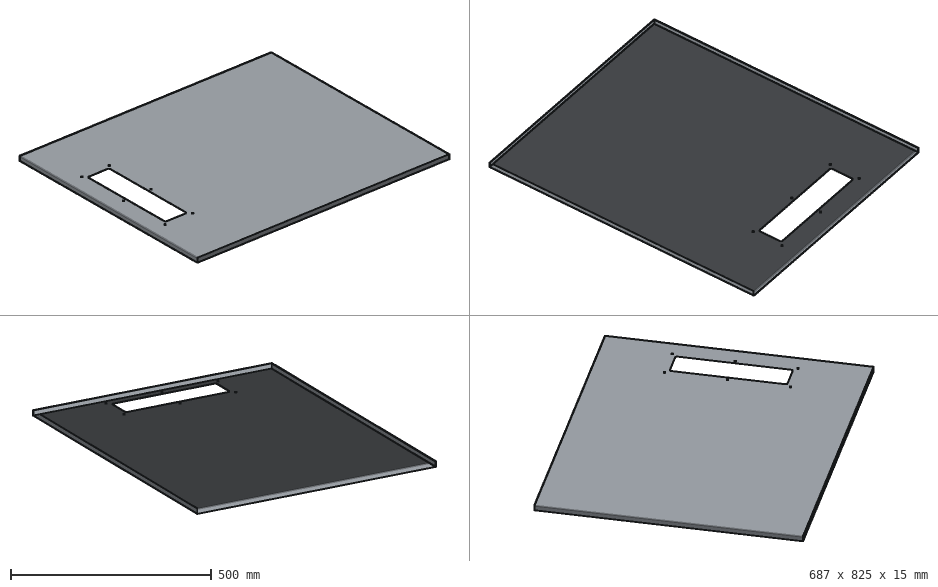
import cadquery as cq

width = 687.0
length = 825.0
height = 15.0
sheet = 1.0
bend_radius = 2.0

window_width = 300.0
window_height = 70.0
window_y = -318.0
window_corner_radius = 5.0
hole_diameter = 4.2
hole_pitch_x = 161.0
hole_pitch_y = 90.0


def folded_channel():
    """Top sheet with rounded bends into the two end flanges."""
    inner_radius = bend_radius - sheet
    outer = (
        cq.Workplane("XY")
        .box(width, length, height, centered=(True, True, False))
        .edges("|X and >Z")
        .fillet(bend_radius)
    )
    inner = (
        cq.Workplane("XY")
        .box(width, length - 2 * sheet, height - sheet, centered=(True, True, False))
        .edges("|X and >Z")
        .fillet(inner_radius)
    )
    return outer.cut(inner)


def side_flange(side):
    """Upright flange ending where the bends start, side is -1 (left) or +1 (right)."""
    flange_length = length - 2 * bend_radius
    x_center = side * (width - sheet) / 2
    return (
        cq.Workplane("XY")
        .center(x_center, 0)
        .box(sheet, flange_length, height, centered=(True, True, False))
    )


def window():
    return (
        cq.Workplane("XY")
        .center(0, window_y)
        .rect(window_width, window_height)
        .extrude(height)
        .edges("|Z")
        .fillet(window_corner_radius)
    )


def screw_holes():
    return (
        cq.Workplane("XY")
        .center(0, window_y)
        .rarray(hole_pitch_x, hole_pitch_y, 3, 2)
        .circle(hole_diameter / 2)
        .extrude(height)
    )


panel = folded_channel()
for side in (-1, 1):
    panel = panel.union(side_flange(side))

result = panel.cut(window()).cut(screw_holes())